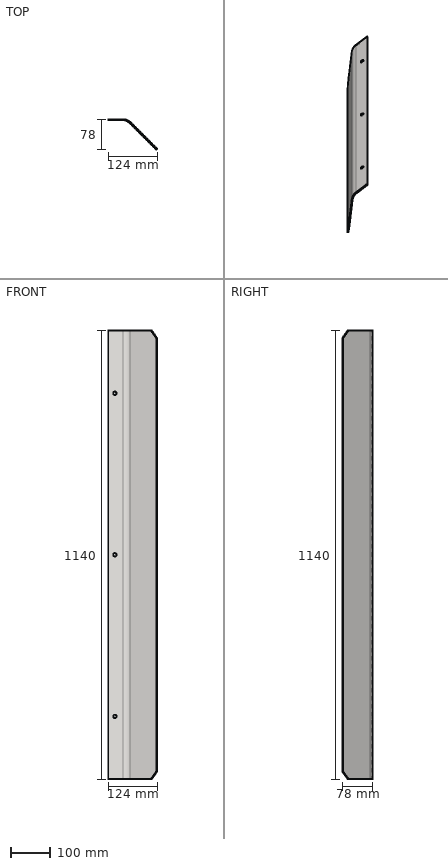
import cadquery as cq
import math

length = 1140.0
width = 124.0
depth = 78.0

thickness = 3.0
bend_angle = math.radians(45)
inner_radius = 26.0
outer_radius = inner_radius + thickness

corner_clip = 19.0

hole_diameter = 8.0
hole_edge_distance = 17.0
hole_spacing = 410.0

bend_drop = inner_radius * (1 - math.cos(bend_angle))
slant_length = (depth - thickness - bend_drop) / math.sin(bend_angle)
flat_length = width - outer_radius * math.sin(bend_angle) - slant_length * math.cos(bend_angle)
bend_center_y = -outer_radius


def bend_point(radius, angle):
    """Point on the bend, with the angle counted from the end of the flat flange."""
    return (
        flat_length + radius * math.sin(angle),
        bend_center_y + radius * math.cos(angle),
    )


def slant_end(radius):
    """Free end of the slanted flange on the face that continues the given bend radius."""
    x, y = bend_point(radius, bend_angle)
    return (
        x + slant_length * math.cos(bend_angle),
        y - slant_length * math.sin(bend_angle),
    )


def bent_sheet():
    return (
        cq.Workplane("XY")
        .moveTo(0, 0)
        .lineTo(flat_length, 0)
        .threePointArc(bend_point(outer_radius, bend_angle / 2), bend_point(outer_radius, bend_angle))
        .lineTo(*slant_end(outer_radius))
        .lineTo(*slant_end(inner_radius))
        .lineTo(*bend_point(inner_radius, bend_angle))
        .threePointArc(bend_point(inner_radius, bend_angle / 2), bend_point(inner_radius, 0))
        .lineTo(0, -thickness)
        .close()
        .extrude(length / 2, both=True)
    )


def clip_corners(sheet):
    across_sheet = cq.Vector(math.sin(bend_angle), math.cos(bend_angle), 0)
    free_end = sheet.faces(cq.selectors.DirectionMinMaxSelector(
        cq.Vector(math.cos(bend_angle), -math.sin(bend_angle), 0)))
    return free_end.edges(cq.selectors.ParallelDirSelector(across_sheet)).chamfer(corner_clip)


def mounting_holes():
    hole_centers = [(hole_edge_distance, step * hole_spacing) for step in (-1, 0, 1)]
    return (
        cq.Workplane("XZ")
        .pushPoints(hole_centers)
        .circle(hole_diameter / 2)
        .extrude(thickness)
    )


result = clip_corners(bent_sheet()).cut(mounting_holes())